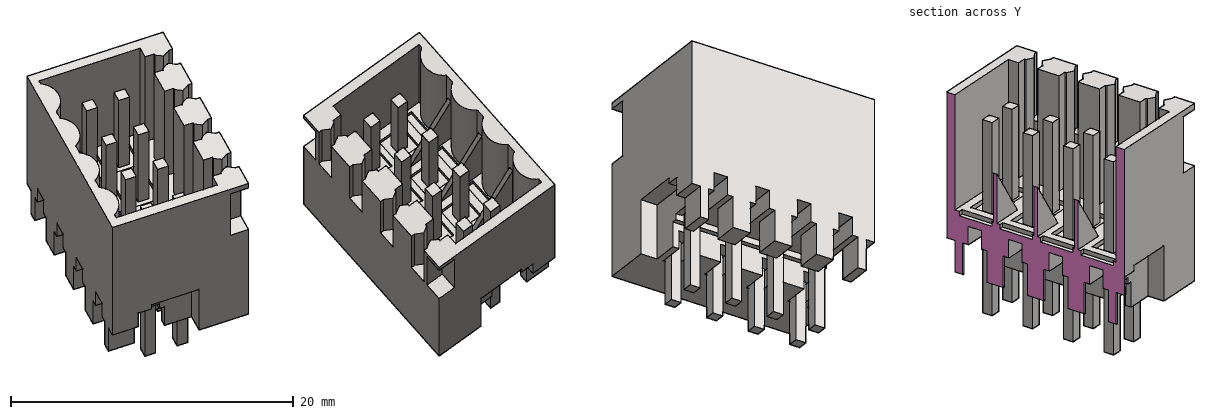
import cadquery as cq

POSITIONS = 4
PITCH = 3.5
LENGTH = 15.4
DEPTH = 10.5
HEIGHT = 17.7
BODY_BOTTOM = 3.5
MID_X = LENGTH / 2
PIN_CENTRES = [MID_X + (i - (POSITIONS - 1) / 2) * PITCH for i in range(POSITIONS)]

PIN_SIZE = 0.83
PIN_TOP = 15.43
FRONT_PIN_Y = 3.79
REAR_PIN_Y = 6.27

FLOOR_Z = 8.5
SIDE_WALL = 0.75
FRONT_WALL = 0.62
BACK_WALL = 2.09
SOCKET_SIZE = 2.04
SOCKET_DEPTH = 0.35
SCALLOP_WIDTH = 2.8
SCALLOP_RISE = 0.78
FRONT_POCKET_WIDTH = 2.78
FRONT_POCKET_OFFSET = 0.07
FRONT_POCKET_DEPTH = 0.35
FRONT_POCKET_Y = (1.5, 2.15)
RIB_WIDTH = 0.35
RIB_END_Y = 4.34
RIB_RISE = 5.84

KEY_MOUTH_HALF = 0.7
KEY_MOUTH_STRAIGHT = 0.28
KEY_NECK_HALF = 0.37
KEY_NECK_DEPTH = 0.85
KEY_FLARE_HALF = 0.69
KEY_FLARE_DEPTH = 1.38
KEY_CHANNEL_HALF = 0.81

NOTCH_SIZE = KEY_FLARE_DEPTH
NOTCH_BOTTOM = 12.7
NOTCH_TOP = 17.2

TUNNEL_TOP = 6.02
TUNNEL_FRONT = 2.0
TUNNEL_STEP_Y = FRONT_PIN_Y + PIN_SIZE / 2
TUNNEL_BACK = 4.6
TUNNEL_BACK_TOP = 5.52
SIDE_RECESS_X = 1.36
SIDE_RECESS_BACK = REAR_PIN_Y + PIN_SIZE / 2
SIDE_RECESS_TOP = 7.93
SIDE_RECESS_STEP_Y = 3.03
PIN_SLOT_WIDTH = 1.13
PIN_SLOT_TOP = 7.49
REAR_SLOT_TOP = 4.95
FRONT_GAP_WIDTH = 2.07
END_GAP = 0.7


def block(x, y, z):
    """Box filling the given (low, high) limits along each axis."""
    return cq.Workplane("XY").box(
        x[1] - x[0], y[1] - y[0], z[1] - z[0], centered=False
    ).translate((x[0], y[0], z[0]))


def centred(middle, width):
    """Limits of a span with the given middle and width."""
    return (middle - width / 2, middle + width / 2)


def cavity():
    """Open-topped interior with a scallop of front wall kept at each position."""
    space = block(
        (SIDE_WALL, LENGTH - SIDE_WALL), (FRONT_WALL, DEPTH - BACK_WALL), (FLOOR_Z, HEIGHT)
    )
    for x in PIN_CENTRES:
        scallop = (
            cq.Workplane("XY", origin=(x, FRONT_WALL, FLOOR_Z))
            .moveTo(-SCALLOP_WIDTH / 2, 0)
            .threePointArc((0, SCALLOP_RISE), (SCALLOP_WIDTH / 2, 0))
            .close()
            .extrude(HEIGHT - FLOOR_Z)
        )
        space = space.cut(scallop)
    return space


def floor_pockets(x):
    """Square sockets around both pins and the long pocket by the front wall."""
    socket_z = (FLOOR_Z - SOCKET_DEPTH, FLOOR_Z)
    pocket_x = centred(x + FRONT_POCKET_OFFSET, FRONT_POCKET_WIDTH)
    pockets = block(pocket_x, FRONT_POCKET_Y, (FLOOR_Z - FRONT_POCKET_DEPTH, FLOOR_Z))
    for y in (FRONT_PIN_Y, REAR_PIN_Y):
        pockets = pockets.union(block(centred(x, SOCKET_SIZE), centred(y, SOCKET_SIZE), socket_z))
    return pockets


def keyway(x):
    """Slot in the back wall: full-depth channel inside, shallower dovetail mouth outside."""
    channel = (
        cq.Workplane("XY", origin=(x, DEPTH, FLOOR_Z))
        .moveTo(-KEY_CHANNEL_HALF, -BACK_WALL)
        .lineTo(-KEY_CHANNEL_HALF, -KEY_FLARE_DEPTH)
        .lineTo(-KEY_FLARE_HALF, -KEY_FLARE_DEPTH)
        .lineTo(-KEY_NECK_HALF, -KEY_NECK_DEPTH)
        .lineTo(KEY_NECK_HALF, -KEY_NECK_DEPTH)
        .lineTo(KEY_FLARE_HALF, -KEY_FLARE_DEPTH)
        .lineTo(KEY_CHANNEL_HALF, -KEY_FLARE_DEPTH)
        .lineTo(KEY_CHANNEL_HALF, -BACK_WALL)
        .close()
        .extrude(HEIGHT - FLOOR_Z)
    )
    mouth = (
        cq.Workplane("XY", origin=(x, DEPTH, NOTCH_BOTTOM))
        .moveTo(-KEY_NECK_HALF, -KEY_NECK_DEPTH)
        .lineTo(-KEY_MOUTH_HALF, -KEY_MOUTH_STRAIGHT)
        .lineTo(-KEY_MOUTH_HALF, 0)
        .lineTo(KEY_MOUTH_HALF, 0)
        .lineTo(KEY_MOUTH_HALF, -KEY_MOUTH_STRAIGHT)
        .lineTo(KEY_NECK_HALF, -KEY_NECK_DEPTH)
        .close()
        .extrude(HEIGHT - NOTCH_BOTTOM)
    )
    return channel.union(mouth)


def corner_notches():
    """Window cut into each back corner, leaving a thin cap above it."""
    y = (DEPTH - NOTCH_SIZE, DEPTH)
    z = (NOTCH_BOTTOM, NOTCH_TOP)
    left = block((0, NOTCH_SIZE), y, z)
    right = block((LENGTH - NOTCH_SIZE, LENGTH), y, z)
    return left.union(right)


def tunnel():
    """Stepped channel along the whole underside, clearing the front pins."""
    return (
        cq.Workplane("YZ")
        .moveTo(TUNNEL_FRONT, BODY_BOTTOM)
        .lineTo(TUNNEL_FRONT, TUNNEL_TOP)
        .lineTo(TUNNEL_STEP_Y, TUNNEL_TOP)
        .lineTo(TUNNEL_STEP_Y, TUNNEL_BACK_TOP)
        .lineTo(TUNNEL_BACK, TUNNEL_BACK_TOP)
        .lineTo(TUNNEL_BACK, BODY_BOTTOM)
        .close()
        .extrude(LENGTH)
    )


def side_recess(x_start):
    """Stepped recess in an end face, open at the bottom."""
    return (
        cq.Workplane("YZ", origin=(x_start, 0, 0))
        .moveTo(TUNNEL_FRONT, BODY_BOTTOM)
        .lineTo(TUNNEL_FRONT, PIN_SLOT_TOP)
        .lineTo(SIDE_RECESS_STEP_Y, PIN_SLOT_TOP)
        .lineTo(SIDE_RECESS_STEP_Y, SIDE_RECESS_TOP)
        .lineTo(SIDE_RECESS_BACK, SIDE_RECESS_TOP)
        .lineTo(SIDE_RECESS_BACK, BODY_BOTTOM)
        .close()
        .extrude(SIDE_RECESS_X)
    )


def pin_slots(x):
    """Openings at one position: front wall gap, front pin slot and rear pin slot."""
    slot_x = centred(x, PIN_SLOT_WIDTH)
    gap = block(centred(x, FRONT_GAP_WIDTH), (0, TUNNEL_FRONT), (BODY_BOTTOM, TUNNEL_TOP))
    front = block(slot_x, (0, TUNNEL_STEP_Y), (BODY_BOTTOM, PIN_SLOT_TOP))
    rear = block(slot_x, (TUNNEL_BACK, SIDE_RECESS_BACK), (BODY_BOTTOM, REAR_SLOT_TOP))
    return gap.union(front).union(rear)


def rib(x):
    """Triangular gusset between the cavity floor and the front wall."""
    return (
        cq.Workplane("YZ", origin=(x - RIB_WIDTH / 2, 0, 0))
        .moveTo(FRONT_WALL, FLOOR_Z)
        .lineTo(RIB_END_Y, FLOOR_Z)
        .lineTo(FRONT_WALL, FLOOR_Z + RIB_RISE)
        .close()
        .extrude(RIB_WIDTH)
    )


body = block((0, LENGTH), (0, DEPTH), (BODY_BOTTOM, HEIGHT))
body = body.cut(cavity()).cut(corner_notches()).cut(tunnel())

for x_start in (0, LENGTH - SIDE_RECESS_X):
    body = body.cut(side_recess(x_start))

for x_start in (0, LENGTH - END_GAP):
    end_gap = block((x_start, x_start + END_GAP), (0, TUNNEL_FRONT), (BODY_BOTTOM, TUNNEL_TOP))
    body = body.cut(end_gap)

for x in PIN_CENTRES:
    body = body.cut(floor_pockets(x)).cut(keyway(x)).cut(pin_slots(x))

for x in PIN_CENTRES[:-1]:
    body = body.union(rib(x + PITCH / 2))

for x in PIN_CENTRES:
    for y in (FRONT_PIN_Y, REAR_PIN_Y):
        body = body.union(block(centred(x, PIN_SIZE), centred(y, PIN_SIZE), (0, PIN_TOP)))

result = body